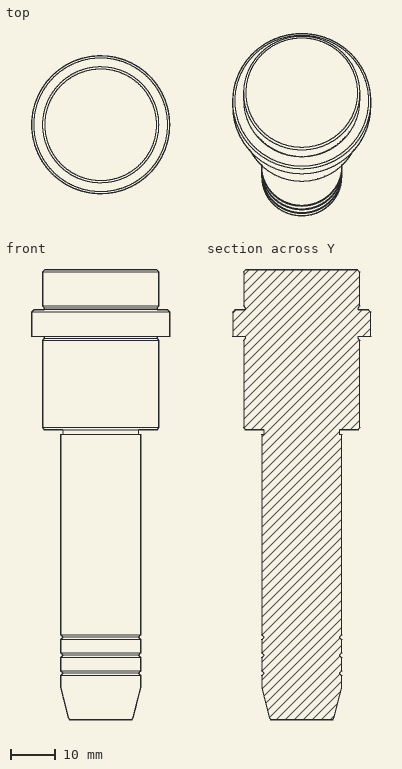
import cadquery as cq

length = 101.0
head_radius = 13.0
flange_radius = 15.5
shaft_radius = 9.0
tip_radius = 7.3

flange_top = length - 9.0
flange_bottom = length - 15.0
body_bottom = length - 36.0
taper_start = 7.3

head_chamfer = 0.5
flange_chamfer = 0.5
body_chamfer_width = 0.3
body_chamfer_height = 0.5
tip_chamfer_width = 0.3
tip_chamfer_height = 0.5

relief_depth = 0.3
relief_width = 0.8
relief_run_out = 0.4
neck_radius = 8.5
neck_width = 1.0

groove_count = 3
first_groove_bottom = 10.0
groove_pitch = 4.0
groove_width = 1.0
groove_depth = groove_width / 2


def turned_body():
    """Revolve the half profile of the pin about the Z axis."""
    relief_radius = head_radius - relief_depth
    upper_relief_top = flange_top + relief_width
    lower_relief_bottom = flange_bottom - relief_width
    profile = [
        (0, 0),
        (tip_radius - tip_chamfer_width, 0),
        (tip_radius, tip_chamfer_height),
        (shaft_radius, taper_start),
        (shaft_radius, body_bottom - neck_width),
        (neck_radius, body_bottom - neck_width),
        (neck_radius, body_bottom),
        (head_radius - body_chamfer_width, body_bottom),
        (head_radius, body_bottom + body_chamfer_height),
        (head_radius, lower_relief_bottom),
        (relief_radius, lower_relief_bottom + relief_run_out),
        (relief_radius, flange_bottom),
        (flange_radius, flange_bottom),
        (flange_radius, flange_top - flange_chamfer),
        (flange_radius - flange_chamfer, flange_top),
        (relief_radius, flange_top),
        (relief_radius, upper_relief_top - relief_run_out),
        (head_radius, upper_relief_top),
        (head_radius, length - head_chamfer),
        (head_radius - head_chamfer, length),
        (0, length),
    ]
    return cq.Workplane("XZ").polyline(profile).close().revolve(360, (0, 0), (0, 1))


def groove_ring(bottom):
    """Ring that cuts one 45 degree V-groove into the shaft."""
    profile = [
        (shaft_radius, bottom),
        (shaft_radius - groove_depth, bottom + groove_width / 2),
        (shaft_radius, bottom + groove_width),
    ]
    return cq.Workplane("XZ").polyline(profile).close().revolve(360, (0, 0), (0, 1))


result = turned_body()
for index in range(groove_count):
    result = result.cut(groove_ring(first_groove_bottom + index * groove_pitch))